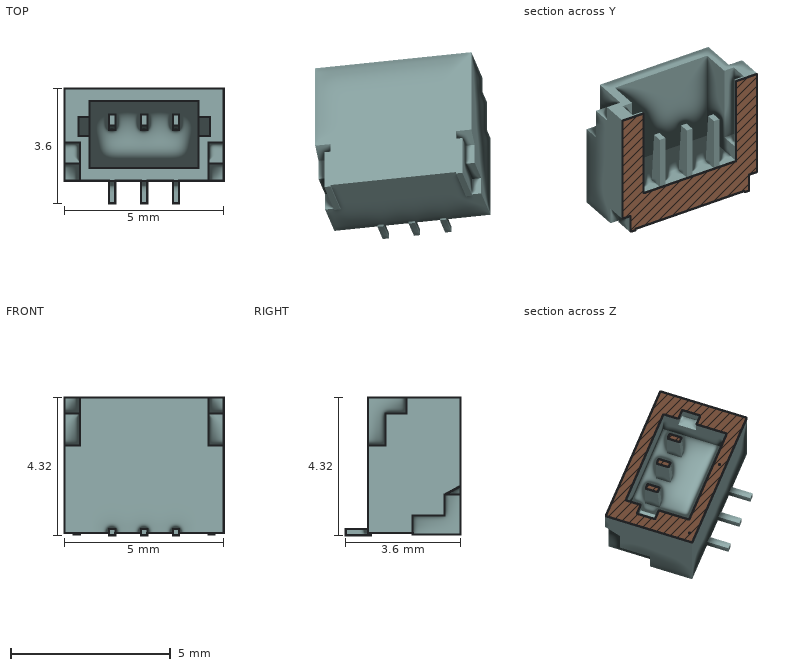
import cadquery as cq

width = 5.0
depth = 2.9
height = 4.25

cut_width = 0.49
step_short = 0.5
step_long = 1.5
ledge_short = 0.55
ledge_long = 1.2
slope_rise = 0.27

front_wall = 0.4
cavity_width = 3.42
cavity_depth = 2.1
cavity_floor = 1.25
keyway_span = 4.12
keyway_front = 1.41
keyway_depth = 0.59
keyway_floor = 1.75

contact_count = 3
contact_pitch = 1.0
contact_width = 0.2
pin_front = 1.6
pin_depth = 0.48
pin_top = 3.02
taper_run = 0.14
lead_thickness = 0.2
lead_drop = 0.07
lead_length = 0.8
lead_reach = 0.7

tab_thickness = 0.2
tab_drop = 0.05


def extrude_along_x(points, x_start, length):
    """Extrude a closed (y, z) outline toward +X."""
    return cq.Workplane("YZ").workplane(offset=x_start).polyline(points).close().extrude(length)


def box_from(x_center, y_front, z_bottom, size_x, size_y, size_z):
    """Box centred on x_center, starting at the given front and bottom."""
    return (
        cq.Workplane("XY")
        .box(size_x, size_y, size_z, centered=(True, False, False))
        .translate((x_center, y_front, z_bottom))
    )


def on_both_ends(shape):
    return shape.union(shape.mirror("YZ"))


def upper_front_cut():
    outline = [
        (0, height),
        (ledge_long, height),
        (ledge_long, height - step_short),
        (ledge_short, height - step_short),
        (ledge_short, height - step_long),
        (0, height - step_long),
    ]
    return on_both_ends(extrude_along_x(outline, -width / 2, cut_width))


def lower_rear_outline(bottom, rear_top):
    """L-shaped outline with a choice of bottom level and rear corner height."""
    return [
        (depth, bottom),
        (depth - step_long, bottom),
        (depth - step_long, ledge_short),
        (depth - step_short, ledge_short),
        (depth - step_short, ledge_long),
        (depth, rear_top),
    ]


def lower_rear_cut():
    outline = lower_rear_outline(0, ledge_long + slope_rise)
    return on_both_ends(extrude_along_x(outline, -width / 2, cut_width))


def solder_tabs():
    outline = lower_rear_outline(-tab_drop, ledge_long)
    x_start = -width / 2 + cut_width - tab_thickness
    return on_both_ends(extrude_along_x(outline, x_start, tab_thickness))


def cavity():
    main = box_from(0, front_wall, cavity_floor, cavity_width, cavity_depth, height - cavity_floor)
    keyways = box_from(0, keyway_front, keyway_floor, keyway_span, keyway_depth, height - keyway_floor)
    return main.union(keyways)


def contact(x_center):
    """Upright pin with a tapering front face, and a solder lead under the front wall."""
    pin_rear = pin_front + pin_depth
    pin_outline = [
        (pin_front, 0),
        (pin_rear, 0),
        (pin_rear, pin_top),
        (pin_front + taper_run, pin_top),
        (pin_front, cavity_floor),
    ]
    pin = extrude_along_x(pin_outline, x_center - contact_width / 2, contact_width)
    lead = box_from(x_center, -lead_reach, -lead_drop, contact_width, lead_length, lead_thickness)
    return pin.union(lead)


result = box_from(0, 0, 0, width, depth, height)
result = result.cut(upper_front_cut()).cut(lower_rear_cut()).cut(cavity())
result = result.union(solder_tabs())

for index in range(contact_count):
    x_center = (index - (contact_count - 1) / 2) * contact_pitch
    result = result.union(contact(x_center))